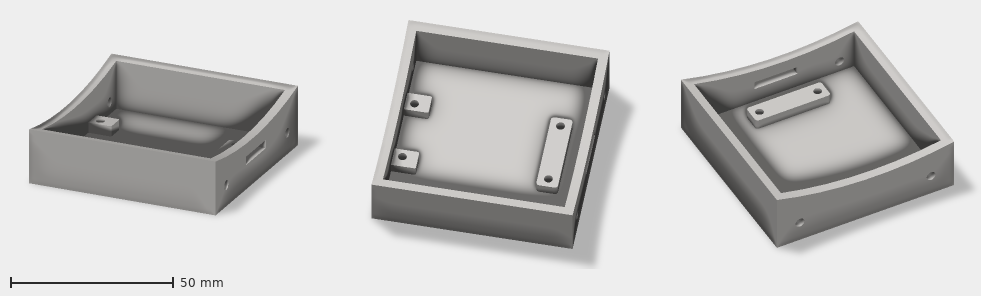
import cadquery as cq

length_x = 63.0
width_y = 61.85
back_height = 19.8
front_height = 17.95
mid_height = 15.2
wall = 3.0
floor = 3.0

pad_top = floor + 3.4
mount_y = -0.6
screw_dia = 2.7
screw_spacing_y = 20.3
left_screw_x = 5.9 - length_x / 2
bar_x = 20.15
bar_size_x = 6.75
bar_size_y = 26.1
bar_corner_radius = 1.0
small_pad_reach = 7.75
small_pad_size_y = 6.3
small_pad_spacing_y = 21.35
small_pad_corner_radius = 0.5

side_hole_dia = 3.1
side_hole_inset = 8.05
side_hole_z = 7.05
slot_size_y = 15.0
slot_size_z = 2.8
slot_bottom_z = floor + 5.1

inner_left_x = wall - length_x / 2
inner_right_x = length_x / 2 - wall


def make_tray():
    """Open tray whose rim is a concave arc running along Y."""
    half_y = width_y / 2
    body = (
        cq.Workplane("YZ", origin=(-length_x / 2, 0, 0))
        .moveTo(-half_y, 0)
        .lineTo(half_y, 0)
        .lineTo(half_y, back_height)
        .threePointArc((0, mid_height), (-half_y, front_height))
        .close()
        .extrude(length_x)
    )
    cavity = cq.Workplane("XY", origin=(0, 0, floor)).rect(
        length_x - 2 * wall, width_y - 2 * wall
    ).extrude(back_height)
    return body.cut(cavity)


def make_pad(center_x, center_y, size_x, size_y, radius, rounded_edges):
    """Pad rising from the underside of the tray, with rounded vertical corners."""
    return (
        cq.Workplane("XY", origin=(center_x, center_y, 0))
        .rect(size_x, size_y)
        .extrude(pad_top)
        .edges(rounded_edges)
        .fillet(radius)
    )


def make_screw_holes():
    """Four vertical holes through the pads and the floor."""
    points = [
        (x, mount_y + side * screw_spacing_y / 2)
        for x in (left_screw_x, bar_x)
        for side in (-1, 1)
    ]
    return cq.Workplane("XY").pushPoints(points).circle(screw_dia / 2).extrude(pad_top)


def make_side_holes():
    """Two holes along X, each through both side walls."""
    hole_y = width_y / 2 - side_hole_inset
    return (
        cq.Workplane("YZ", origin=(-length_x / 2, 0, 0))
        .pushPoints([(-hole_y, side_hole_z), (hole_y, side_hole_z)])
        .circle(side_hole_dia / 2)
        .extrude(length_x)
    )


def make_slot():
    """Rectangular opening through the +X wall."""
    return (
        cq.Workplane("YZ", origin=(inner_right_x, mount_y, slot_bottom_z + slot_size_z / 2))
        .rect(slot_size_y, slot_size_z)
        .extrude(wall)
    )


result = make_tray()
result = result.union(make_pad(bar_x, mount_y, bar_size_x, bar_size_y, bar_corner_radius, "|Z"))
for side in (-1, 1):
    small_pad = make_pad(
        inner_left_x + small_pad_reach / 2,
        mount_y + side * small_pad_spacing_y / 2,
        small_pad_reach,
        small_pad_size_y,
        small_pad_corner_radius,
        "|Z and >X",
    )
    result = result.union(small_pad)
result = result.cut(make_screw_holes()).cut(make_side_holes()).cut(make_slot())